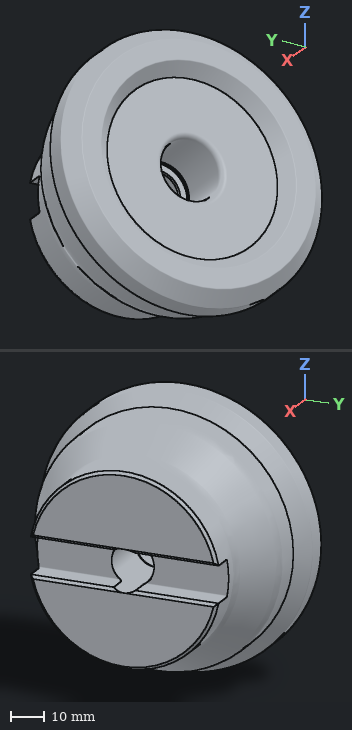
import cadquery as cq

length = 50.0
flange_radius = 44.9
body_radius = 81.0 / 2
neck_radius = 63.0 / 2
flange_chamfer = 4.7
flange_end = 11.2
taper_start = 25.1
taper_end = 37.9
flange_edge_round = 0.5
taper_round = 5.0
neck_chamfer = 1.0

recess_rim_radius = 33.4
recess_floor_radius = 29.3
recess_depth = 4.1
recess_rim_round = 0.5

insert_disc_thickness = 5.0
insert_length = 20.0
insert_hub_radius = 27.0 / 2
insert_bore_radius = 20.0 / 2
insert_mouth_round = 2.0
insert_disc_back = recess_depth + insert_disc_thickness
insert_end = recess_depth + insert_length

step_ledge = 0.3
step_radius = insert_bore_radius - step_ledge
step_depth = 0.9
hole_radius = 14.0 / 2
hole_chamfer = 0.45

slot_width = 12.0
slot_depth = 7.0
slot_corner_round = 0.5
slot_floor = length - slot_depth


def circle_edges_at(body, x, radius):
    """Circular edges centred on the X axis with the given position and radius."""
    tolerance = 0.01
    return body.edges("%CIRCLE").filter(
        lambda edge: abs(edge.Center().x - x) < tolerance
        and abs(edge.radius() - radius) < tolerance
    )


def revolve_about_x(points):
    return cq.Workplane("XY").polyline(points).close().revolve(360, (0, 0, 0), (1, 0, 0))


def make_slot_cutter():
    across = 2 * flange_radius
    slot = (
        cq.Workplane("XY")
        .box(slot_depth, across, slot_width, centered=(False, True, True))
        .edges("<X and |Y")
        .fillet(slot_corner_round)
        .translate((slot_floor, 0, 0))
    )
    half_width = slot_width / 2
    mouth = (
        cq.Workplane("XZ")
        .polyline([
            (length - neck_chamfer, -half_width),
            (length, -half_width - neck_chamfer),
            (length, half_width + neck_chamfer),
            (length - neck_chamfer, half_width),
        ])
        .close()
        .extrude(across / 2, both=True)
    )
    return slot.union(mouth)


def make_housing():
    back_bevel_end = flange_end + flange_radius - body_radius
    step_end = insert_end + step_depth
    body = revolve_about_x([
        (step_end, hole_radius + hole_chamfer),
        (step_end, step_radius),
        (insert_end, step_radius),
        (insert_end, insert_hub_radius),
        (insert_disc_back, insert_hub_radius),
        (insert_disc_back, recess_floor_radius),
        (recess_depth, recess_floor_radius),
        (0, recess_rim_radius),
        (0, flange_radius - flange_chamfer),
        (flange_chamfer, flange_radius),
        (flange_end, flange_radius),
        (back_bevel_end, body_radius),
        (taper_start, body_radius),
        (taper_end, neck_radius),
        (length - neck_chamfer, neck_radius),
        (length, neck_radius - neck_chamfer),
        (length, hole_radius),
        (step_end + hole_chamfer, hole_radius),
    ])
    rounded_edges = [
        (0, recess_rim_radius, recess_rim_round),
        (0, flange_radius - flange_chamfer, flange_edge_round),
        (flange_chamfer, flange_radius, flange_edge_round),
        (flange_end, flange_radius, flange_edge_round),
        (taper_start, body_radius, taper_round),
        (taper_end, neck_radius, taper_round),
    ]
    for x, radius, rounding in rounded_edges:
        body = circle_edges_at(body, x, radius).fillet(rounding)
    return body.cut(make_slot_cutter())


def make_insert():
    body = revolve_about_x([
        (recess_depth, insert_bore_radius),
        (recess_depth, recess_floor_radius),
        (insert_disc_back, recess_floor_radius),
        (insert_disc_back, insert_hub_radius),
        (insert_end, insert_hub_radius),
        (insert_end, insert_bore_radius),
    ])
    return circle_edges_at(body, recess_depth, insert_bore_radius).fillet(insert_mouth_round)


housing = make_housing()
insert = make_insert()
result = cq.Compound.makeCompound([housing.val(), insert.val()])